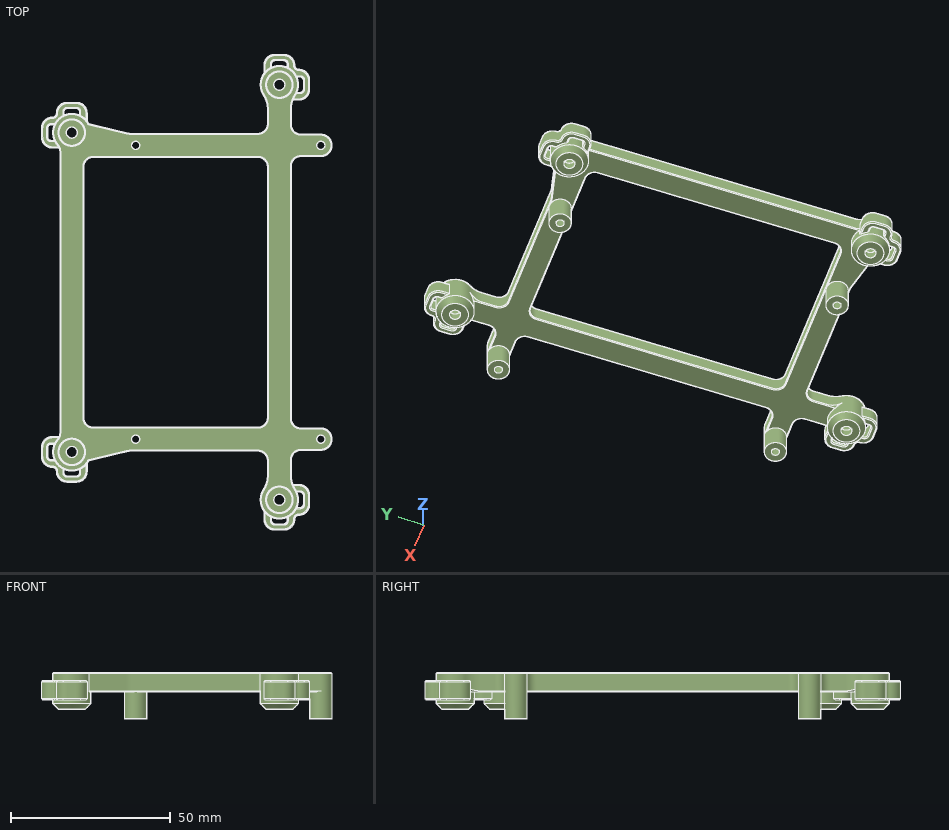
import cadquery as cq
import math

FRAME_THICKNESS = 6.0
BAR_WIDTH = 7.5
EDGE_CHAMFER = 0.3
CORNER_RADIUS = 3.0

RAIL_SPACING = 65.0
LEFT_RAIL_X = -RAIL_SPACING / 2
RIGHT_RAIL_X = RAIL_SPACING / 2
LEFT_BOSS_Y = 50.0
RIGHT_BOSS_Y = 65.0
BOSS_RADIUS = 6.0
BOSS_HEIGHT = 11.5
BOSS_CHAMFER = 1.8
BOSS_HOLE_DIAMETER = 3.4
COUNTERBORE_DIAMETER = 8.0
COUNTERBORE_CHAMFER = 0.3
COUNTERBORE_DEPTH = 8.5
LEFT_NECK_RADIUS = 3.0
RIGHT_NECK_RADIUS = 8.0

POST_Y = 46.0
POST_SPACING = 58.0
INNER_POST_X = LEFT_RAIL_X + 20.0
OUTER_POST_X = INNER_POST_X + POST_SPACING
POST_DIAMETER = 7.0
POST_HOLE_DIAMETER = 2.5
TOTAL_HEIGHT = 14.5

GUSSET_REACH = 17.9
GUSSET_ANGLE = 13.5
GUSSET_BLEND_RADIUS = 6.0

LOOP_REACH = 9.5
LOOP_WIDTH = 9.7
LOOP_CORNER_RADIUS = 3.4
LOOP_NOTCH_RADIUS = 1.2
LOOP_HEIGHT = 6.0
LOOP_TOP_Z = -2.5
LOOP_CHAMFER = 0.4
SLOT_WIDTH = 4.8
SLOT_REACH = 7.5
SLOT_CORNER_RADIUS = 1.0

PICK_TOLERANCE = 0.3

SIDES = (-1, 1)
BOSS_CENTERS = [
    (x, side * y)
    for x, y in ((LEFT_RAIL_X, LEFT_BOSS_Y), (RIGHT_RAIL_X, RIGHT_BOSS_Y))
    for side in SIDES
]
POST_CENTERS = [(x, side * POST_Y) for x in (INNER_POST_X, OUTER_POST_X) for side in SIDES]


def slab(x_min, x_max, y_min, y_max):
    """Frame-thick rectangular bar below Z = 0."""
    return cq.Workplane("XY").box(
        x_max - x_min, y_max - y_min, FRAME_THICKNESS, centered=False
    ).translate((x_min, y_min, -FRAME_THICKNESS))


def disc(center, radius, height):
    """Upright cylinder hanging down from Z = 0."""
    return cq.Workplane("XY").center(*center).circle(radius).extrude(-height)


def edges_near(points):
    """Selector for the frame edges that stand close to the given XY points."""
    low = -FRAME_THICKNESS
    selector = None
    for x, y in points:
        box = cq.selectors.BoxSelector(
            (x - PICK_TOLERANCE, y - PICK_TOLERANCE, low), (x + PICK_TOLERANCE, y + PICK_TOLERANCE, 0)
        )
        selector = box if selector is None else selector + box
    return selector


def make_bars():
    """Two rails, two crossbars and the tabs that carry the outer posts."""
    half = BAR_WIDTH / 2
    tab_half = POST_DIAMETER / 2
    bars = slab(LEFT_RAIL_X - half, LEFT_RAIL_X + half, -LEFT_BOSS_Y, LEFT_BOSS_Y)
    bars = bars.union(slab(RIGHT_RAIL_X - half, RIGHT_RAIL_X + half, -RIGHT_BOSS_Y, RIGHT_BOSS_Y))
    for side in SIDES:
        y = side * POST_Y
        bars = bars.union(slab(LEFT_RAIL_X, RIGHT_RAIL_X, y - half, y + half))
        bars = bars.union(slab(RIGHT_RAIL_X, OUTER_POST_X, y - tab_half, y + tab_half))

    corners = []
    for side in SIDES:
        y = side * POST_Y
        corners.append((LEFT_RAIL_X + half, y - side * half))
        for offset in (-half, half):
            corners.append((RIGHT_RAIL_X - half, y + offset))
        for offset in (-tab_half, tab_half):
            corners.append((RIGHT_RAIL_X + half, y + offset))
    return bars.edges("|Z").edges(edges_near(corners)).fillet(CORNER_RADIUS)


def add_gusset(bars, side):
    """Wedge between a left boss and the outer edge of its crossbar, blended at its tip."""
    tip_x = LEFT_RAIL_X + GUSSET_REACH
    edge_y = POST_Y + BAR_WIDTH / 2
    rise = GUSSET_REACH * math.tan(math.radians(GUSSET_ANGLE))
    outline = [
        (LEFT_RAIL_X, side * POST_Y),
        (tip_x, side * POST_Y),
        (tip_x, side * edge_y),
        (LEFT_RAIL_X, side * (edge_y + rise)),
    ]
    wedge = cq.Workplane("XY").polyline(outline).close().extrude(-FRAME_THICKNESS)
    bars = bars.union(wedge)
    tip = edges_near([(tip_x, side * edge_y)])
    return bars.edges("|Z").edges(tip).fillet(GUSSET_BLEND_RADIUS)


def add_boss(frame, center):
    """Full-height boss, chamfered at its lower end."""
    boss = disc(center, BOSS_RADIUS, BOSS_HEIGHT)
    return frame.union(boss.faces("<Z").chamfer(BOSS_CHAMFER))


def round_necks(frame):
    """Concave blends where the rails run into the bosses."""
    half = BAR_WIDTH / 2
    neck_y = math.sqrt(BOSS_RADIUS**2 - half**2)
    left_necks = []
    right_necks = []
    for side in SIDES:
        left_necks.append((LEFT_RAIL_X - half, side * (LEFT_BOSS_Y - neck_y)))
        for offset in (-half, half):
            right_necks.append((RIGHT_RAIL_X + offset, side * (RIGHT_BOSS_Y - neck_y)))
    for necks, radius in ((left_necks, LEFT_NECK_RADIUS), (right_necks, RIGHT_NECK_RADIUS)):
        frame = frame.edges("|Z").edges(edges_near(necks)).fillet(radius)
    return frame


def make_frame():
    """Flat frame with its bosses and posts and with chamfered rims."""
    frame = make_bars()
    for side in SIDES:
        frame = add_gusset(frame, side)
    frame = frame.faces("<Z").edges().chamfer(EDGE_CHAMFER)
    for center in BOSS_CENTERS:
        frame = add_boss(frame, center)
    frame = round_necks(frame)
    for center in POST_CENTERS:
        frame = frame.union(disc(center, POST_DIAMETER / 2, TOTAL_HEIGHT))
    return frame.faces(">Z").edges().chamfer(EDGE_CHAMFER)


def block(reach, width):
    """Loop-high bar from a boss axis outwards along +X."""
    return cq.Workplane("XY").box(reach, width, LOOP_HEIGHT, centered=(False, True, False))


def make_loop_pair():
    """Two strap loops reaching along +X and +Y from a boss axis at the origin."""
    axis = ((0, 0, 0), (0, 0, 1))
    body = block(LOOP_REACH, LOOP_WIDTH)
    body = body.edges("|Z and >X").fillet(LOOP_CORNER_RADIUS)
    body = body.union(body.rotate(*axis, 90))
    notch = (LOOP_WIDTH / 2, LOOP_WIDTH / 2, LOOP_HEIGHT / 2)
    body = body.edges(cq.selectors.NearestToPointSelector(notch)).fillet(LOOP_NOTCH_RADIUS)
    slot = block(SLOT_REACH, SLOT_WIDTH)
    slot = slot.edges("|Z and >X").fillet(SLOT_CORNER_RADIUS)
    pair = body.cut(slot).cut(slot.rotate(*axis, 90))
    pair = pair.faces("<Z or >Z").edges().chamfer(LOOP_CHAMFER)
    return pair.translate((0, 0, LOOP_TOP_Z - LOOP_HEIGHT))


def add_loops(part, center):
    """Loop pair on the two sides of a boss that face away from the frame."""
    x, y = center
    if x > 0:
        angle = 0 if y > 0 else -90
    else:
        angle = 90 if y > 0 else 180
    pair = make_loop_pair().rotate((0, 0, 0), (0, 0, 1), angle)
    return part.union(pair.translate((x, y, 0)))


def drill_boss(part, center):
    """Screw clearance hole with a deep counterbore, chamfered at its mouth."""
    radius = COUNTERBORE_DIAMETER / 2
    mouth = cq.Solid.makeCone(
        radius + COUNTERBORE_CHAMFER, radius, COUNTERBORE_CHAMFER, pnt=(*center, 0), dir=(0, 0, -1)
    )
    part = part.cut(disc(center, BOSS_HOLE_DIAMETER / 2, BOSS_HEIGHT))
    part = part.cut(disc(center, radius, COUNTERBORE_DEPTH))
    return part.cut(cq.Workplane(mouth))


def make_part():
    """Frame with loops added and all holes drilled."""
    part = make_frame()
    for center in BOSS_CENTERS:
        part = add_loops(part, center)
    for center in BOSS_CENTERS:
        part = drill_boss(part, center)
    for center in POST_CENTERS:
        part = part.cut(disc(center, POST_HOLE_DIAMETER / 2, TOTAL_HEIGHT))
    return part


result = make_part()